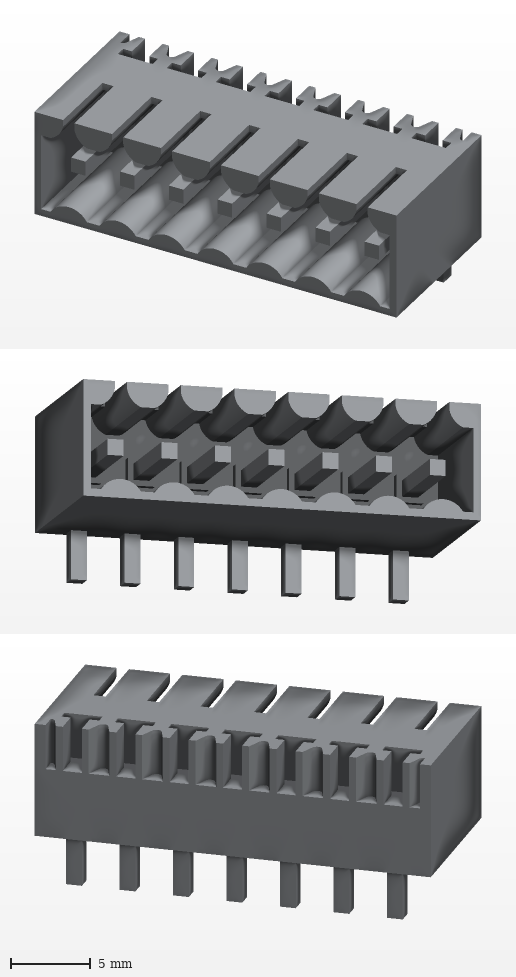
import cadquery as cq


length = 25.9
depth = 11.05
height = 7.49
wall = 0.5

pin_count = 7
pin_pitch = 3.5
pin_size = 1.04
pin_axis_z = 3.52
pin_tip_setback = 1.25
leg_setback = 0.35
leg_length = 3.15
first_pin_x = (length - (pin_count - 1) * pin_pitch) / 2
pin_xs = [first_pin_x + i * pin_pitch for i in range(pin_count)]

cavity_depth = 8.13
ceiling_drop = 1.58
ridge_half_width = 1.3
ridge_rise = 0.73
flank_radius = 1.5
slot_width = 0.8
slot_length = 5.1

collar_size = 1.75
collar_length = 0.5

pocket_depth = height - (pin_axis_z + pin_size / 2) - wall
tee_stem_width = 1.25
tee_stem_length = 1.74
tee_bar_width = 2.49
tee_bar_length = 0.7
notch_half_width = 0.67
notch_depth = 1.17
notch_tip_half_width = 0.3
notch_tip_rise = 0.2


def box(x_min, x_max, y_min, y_max, z_min, z_max):
    """Box between the given limits."""
    size = (x_max - x_min, y_max - y_min, z_max - z_min)
    return cq.Workplane("XY").box(*size, centered=False).translate((x_min, y_min, z_min))


def front_profile():
    """Workplane on the front face, whose extrusions run toward the back."""
    return cq.Workplane("XZ")


def floor_ridge(x):
    """Low rounded ridge on the cavity floor, under the pin at x."""
    return (
        front_profile()
        .moveTo(x - ridge_half_width, wall)
        .threePointArc((x, wall + ridge_rise), (x + ridge_half_width, wall))
        .close()
        .extrude(-cavity_depth)
    )


def ceiling_groove(x):
    """Groove in the cavity ceiling above the pin at x, narrowing upward between two convex flanks."""
    mouth_z = height - ceiling_drop
    top_z = height - wall
    top_half_width = slot_width / 2
    return (
        front_profile()
        .moveTo(x - ridge_half_width, mouth_z)
        .radiusArc((x - top_half_width, top_z), -flank_radius)
        .lineTo(x + top_half_width, top_z)
        .radiusArc((x + ridge_half_width, mouth_z), -flank_radius)
        .close()
        .extrude(-cavity_depth)
    )


def make_cavity():
    cavity = box(wall, length - wall, 0, cavity_depth, wall, height - ceiling_drop)
    for x in pin_xs:
        cavity = cavity.cut(floor_ridge(x)).union(ceiling_groove(x))
    return cavity


def top_slot(x):
    """Slot through the top wall, open at the front, above the pin at x."""
    return box(x - slot_width / 2, x + slot_width / 2, 0, slot_length, height - wall, height)


def collar(x):
    half = collar_size / 2
    return box(
        x - half, x + half,
        cavity_depth - collar_length, cavity_depth,
        pin_axis_z - half, pin_axis_z + half,
    )


def tee_pocket(x):
    """T-shaped blind pocket whose stem opens at the back."""
    floor_z = height - pocket_depth
    bar_back_y = depth - tee_stem_length
    stem = box(x - tee_stem_width / 2, x + tee_stem_width / 2, bar_back_y, depth, floor_z, height)
    bar = box(
        x - tee_bar_width / 2, x + tee_bar_width / 2,
        bar_back_y - tee_bar_length, bar_back_y,
        floor_z, height,
    )
    return stem.union(bar)


def vee_notch(x):
    """Round-tipped V notch in the back edge, midway between pins."""
    tip_y = depth - notch_depth
    shoulder_y = tip_y + notch_tip_rise
    return (
        cq.Workplane("XY", origin=(x, 0, height))
        .moveTo(-notch_half_width, depth)
        .lineTo(-notch_tip_half_width, shoulder_y)
        .threePointArc((0, tip_y), (notch_tip_half_width, shoulder_y))
        .lineTo(notch_half_width, depth)
        .close()
        .extrude(-pocket_depth)
    )


def make_notches():
    """All V notches, the outermost two halved at their centre lines."""
    row_start = pin_xs[0] - pin_pitch / 2
    row_end = pin_xs[-1] + pin_pitch / 2
    row = box(row_start, row_end, 0, depth, 0, height)
    notches = vee_notch(row_start)
    for x in pin_xs:
        notches = notches.union(vee_notch(x + pin_pitch / 2))
    return notches.intersect(row)


def make_pin(x):
    """Right-angle pin: a horizontal contact with a leg down at its back end."""
    half = pin_size / 2
    back_y = depth - leg_setback
    top_z = pin_axis_z + half
    contact = box(x - half, x + half, pin_tip_setback, back_y, pin_axis_z - half, top_z)
    leg = box(x - half, x + half, back_y - pin_size, back_y, -leg_length, top_z)
    return contact.union(leg)


def make_housing(pins):
    housing = box(0, length, 0, depth, 0, height).cut(make_cavity()).cut(make_notches())
    for x, pin in zip(pin_xs, pins):
        housing = housing.union(collar(x)).cut(top_slot(x)).cut(tee_pocket(x)).cut(pin)
    return housing


pins = [make_pin(x) for x in pin_xs]
housing = make_housing(pins)

result = cq.Compound.makeCompound([housing.val(), *[pin.val() for pin in pins]])